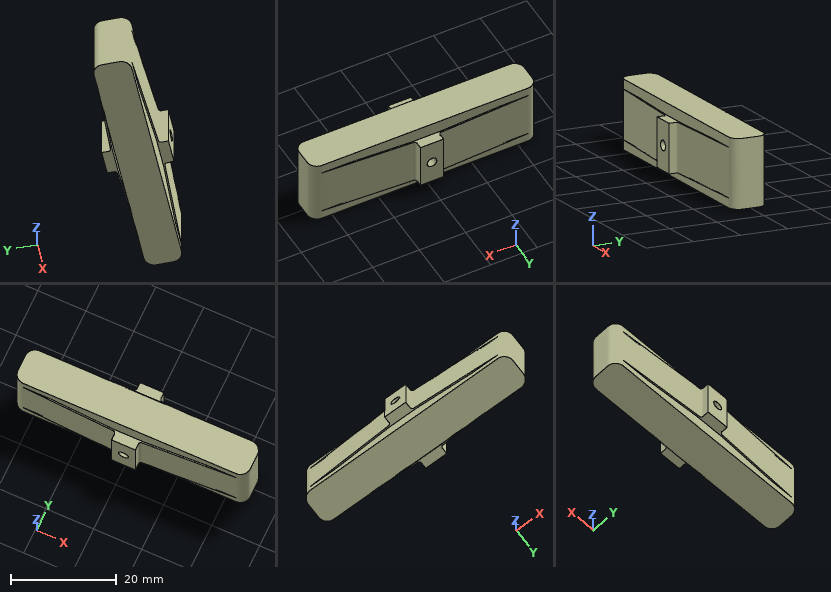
import cadquery as cq

block_length = 48.5
block_width = 7.4
block_height = 14.0
corner_radius = 2.1

overall_width = 13.0
strip_height = 10.0
strip_thickness = 0.3
strip_rise = 0.93
strip_flat_length = 6.5
tab_length = 5.0
tab_fillet = 0.5
hole_diameter = 2.05

block_face = block_width / 2
tab_face = overall_width / 2
strip_end = block_length / 2 - corner_radius
flat_end = strip_flat_length / 2
strip_outer = block_face + strip_rise
strip_inner = strip_outer - strip_thickness
strip_slope = strip_rise / (strip_end - flat_end)
root_depth = strip_thickness


def make_block():
    """Core block, centred on the origin."""
    block = cq.Workplane("XY").box(block_length, block_width, block_height)
    return block.edges("|Z").fillet(corner_radius)


def make_strip():
    """Strip on the +Y side: a flat middle and two straight legs that run down into the block."""
    root_y = block_face - root_depth
    inner_root = flat_end + (strip_inner - root_y) / strip_slope
    outline = [
        (-flat_end, strip_outer),
        (flat_end, strip_outer),
        (strip_end, block_face),
        (inner_root, root_y),
        (flat_end, strip_inner),
        (-flat_end, strip_inner),
        (-inner_root, root_y),
        (-strip_end, block_face),
    ]
    strip = cq.Workplane("XY").polyline(outline).close()
    return strip.extrude(strip_height / 2, both=True)


def make_tab():
    """Tab on the flat middle of the +Y strip, with a concave fillet along each side of its foot."""
    side = tab_length / 2
    foot = side + tab_fillet
    fillet_top = strip_outer + tab_fillet
    tab = (
        cq.Workplane("XY")
        .moveTo(-foot, strip_inner)
        .lineTo(foot, strip_inner)
        .lineTo(foot, strip_outer)
        .radiusArc((side, fillet_top), tab_fillet)
        .lineTo(side, tab_face)
        .lineTo(-side, tab_face)
        .lineTo(-side, fillet_top)
        .radiusArc((-foot, strip_outer), tab_fillet)
        .close()
    )
    return tab.extrude(strip_height / 2, both=True)


def make_hole():
    """Hole through the tab and strip, stopping at the block face."""
    profile = cq.Workplane("XZ", origin=(0, tab_face, 0)).circle(hole_diameter / 2)
    return profile.extrude(tab_face - block_face)


def make_spring():
    """Complete spring on the +Y side."""
    return make_strip().union(make_tab()).cut(make_hole())


spring = make_spring()
result = make_block().union(spring).union(spring.mirror("XZ"))